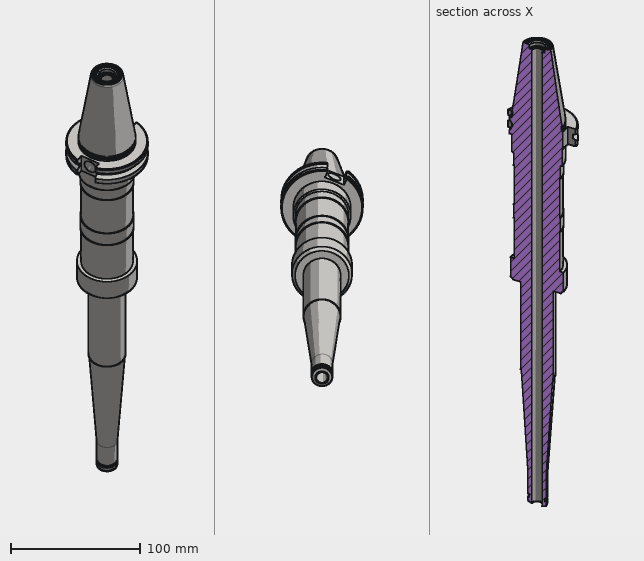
import cadquery as cq
import math

total_length = 420.0

taper_length = 67.5
taper_diameter = 44.5
taper_ratio = 7 / 24
end_face_diameter = 24.0
end_chamfer_depth = 1.5
undercut_diameter = 43.0
undercut_bottom = 70.0

flange_diameter = 63.5
flange_top = 72.0
flange_bottom = 87.7
flange_chamfer = 1.0
flange_groove_center = 79.5
flange_groove_root_diameter = 56.3
flange_groove_root_width = 3.0
flange_groove_half_angle = 27
slot_width = 16.0
slot_edge_chamfer = 1.3
front_slot_distance = 24.5
back_slot_distance = 22.5
dimple_diameter = 10.5
dimple_depth = 3.0

neck_diameter = 44.5
neck_bottom = 104.0
neck_chamfer = 1.0
shoulder_diameter = 41.5
shoulder_bottom = 115.5
body_diameter = 40.5
ring_diameter = 41.5
ring_top = 151.0
ring_bottom = 163.7

collar_diameter = 46.5
collar_top = 200.3
collar_bottom = 220.5
collar_chamfer = 2.5

shank_diameter = 29.0
shank_bottom = 300.0
cone_top_diameter = 28.0
cone_bottom = 392.5
tip_diameter = 16.5
tip_groove_diameter = 14.3
tip_groove_top = 412.5
tip_groove_bottom = 415.0
tip_lip_chamfer_top = 417.8
tip_lip_bottom = 419.0
tip_lip_end_diameter = 15.5
tip_end_diameter = 10.5

recess_diameter = 21.5
recess_floor_diameter = 19.0
recess_depth = 0.5
mouth_diameter = 16.5
mouth_depth = 1.3
socket_diameter = 13.5
socket_depth = 4.0
bore_entry_diameter = 10.5
bore_entry_depth = 5.0
bore_diameter = 9.0


def height(depth):
    """Z of a point at the given depth below the taper's small end."""
    return total_length - depth


def revolved(stations):
    """Solid of revolution about Z from (diameter, depth) stations, top to bottom."""
    rim = [(diameter / 2, height(depth)) for diameter, depth in stations]
    axis_top = (0, rim[0][1])
    axis_bottom = (0, rim[-1][1])
    profile = cq.Workplane("XZ").polyline([axis_top] + rim + [axis_bottom]).close()
    return profile.revolve(360, (0, 0, 0), (0, 1, 0))


def outer_body():
    groove_rise = (flange_diameter - flange_groove_root_diameter) / 2
    groove_flank = groove_rise * math.tan(math.radians(flange_groove_half_angle))
    root_top = flange_groove_center - flange_groove_root_width / 2
    root_bottom = flange_groove_center + flange_groove_root_width / 2
    chamfer_diameter = taper_diameter - taper_ratio * (taper_length - end_chamfer_depth)
    flange_face_diameter = flange_diameter - 2 * flange_chamfer
    return revolved([
        (end_face_diameter, 0),
        (chamfer_diameter, end_chamfer_depth),
        (taper_diameter, taper_length),
        (undercut_diameter, taper_length),
        (undercut_diameter, undercut_bottom),
        (neck_diameter, undercut_bottom),
        (neck_diameter, flange_top),
        (flange_face_diameter, flange_top),
        (flange_diameter, flange_top + flange_chamfer),
        (flange_diameter, root_top - groove_flank),
        (flange_groove_root_diameter, root_top),
        (flange_groove_root_diameter, root_bottom),
        (flange_diameter, root_bottom + groove_flank),
        (flange_diameter, flange_bottom - flange_chamfer),
        (flange_face_diameter, flange_bottom),
        (neck_diameter, flange_bottom),
        (neck_diameter, neck_bottom - neck_chamfer),
        (shoulder_diameter, neck_bottom),
        (shoulder_diameter, shoulder_bottom),
        (body_diameter, shoulder_bottom),
        (body_diameter, ring_top),
        (ring_diameter, ring_top),
        (ring_diameter, ring_bottom),
        (body_diameter, ring_bottom),
        (body_diameter, collar_top),
        (collar_diameter, collar_top),
        (collar_diameter, collar_bottom - collar_chamfer),
        (collar_diameter - 2 * collar_chamfer, collar_bottom),
        (shank_diameter, collar_bottom),
        (shank_diameter, shank_bottom),
        (cone_top_diameter, shank_bottom),
        (tip_diameter, cone_bottom),
        (tip_diameter, tip_groove_top),
        (tip_groove_diameter, tip_groove_top),
        (tip_groove_diameter, tip_groove_bottom),
        (tip_diameter, tip_groove_bottom),
        (tip_diameter, tip_lip_chamfer_top),
        (tip_lip_end_diameter, tip_lip_bottom),
        (tip_end_diameter, total_length),
    ])


def drive_slot(side, distance):
    """Cutter for a drive slot; side is -1 for -Y and +1 for +Y."""
    half_width = slot_width / 2
    rim_y = math.sqrt((flange_diameter / 2) ** 2 - half_width ** 2)
    flare_start = rim_y - slot_edge_chamfer
    outside = flange_diameter
    flare = outside - flare_start
    right_side = [(half_width, distance), (half_width, flare_start), (half_width + flare, outside)]
    left_side = [(-x, y) for x, y in reversed(right_side)]
    outline = [(x, side * y) for x, y in right_side + left_side]
    slot = cq.Workplane("XY").workplane(offset=height(flange_bottom)).polyline(outline).close()
    return slot.extrude(flange_bottom - flange_top)


def dimple():
    """Conical dimple in the floor of the -Y slot."""
    return cq.Workplane(
        cq.Solid.makeCone(
            dimple_diameter / 2,
            0,
            dimple_depth,
            pnt=cq.Vector(0, -front_slot_distance, height(flange_groove_center)),
            dir=cq.Vector(0, 1, 0),
        )
    )


def axial_bore():
    return revolved([
        (recess_diameter, 0),
        (recess_floor_diameter, recess_depth),
        (mouth_diameter, recess_depth),
        (socket_diameter, mouth_depth),
        (socket_diameter, socket_depth),
        (bore_entry_diameter, socket_depth),
        (bore_diameter, bore_entry_depth),
        (bore_diameter, total_length),
    ])


result = (
    outer_body()
    .cut(drive_slot(-1, front_slot_distance))
    .cut(drive_slot(1, back_slot_distance))
    .cut(dimple())
    .cut(axial_bore())
)